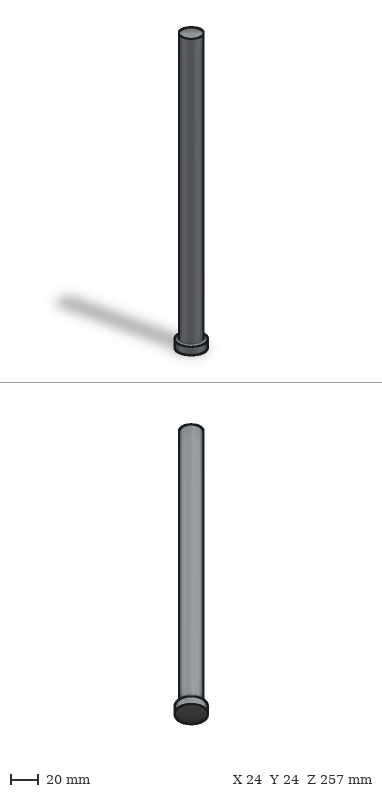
import cadquery as cq

overall_length = 257.0
head_diameter = 24.0
head_height = 7.0
shank_diameter = 18.0
root_fillet_radius = 0.2

shank_length = overall_length - head_height


def make_head():
    """Round head with its underside on the XY plane."""
    return cq.Workplane("XY").circle(head_diameter / 2).extrude(head_height)


def add_shank(head):
    """Raise the plain shank from the centre of the head."""
    return head.faces(">Z").workplane().circle(shank_diameter / 2).extrude(shank_length)


def round_shank_root(pin):
    """Fillet the inner corner where the shank meets the head."""
    shank_root = cq.selectors.RadiusNthSelector(0)
    head_top = pin.faces(cq.selectors.NearestToPointSelector((0, 0, head_height)))
    return head_top.edges(shank_root).fillet(root_fillet_radius)


result = round_shank_root(add_shank(make_head()))